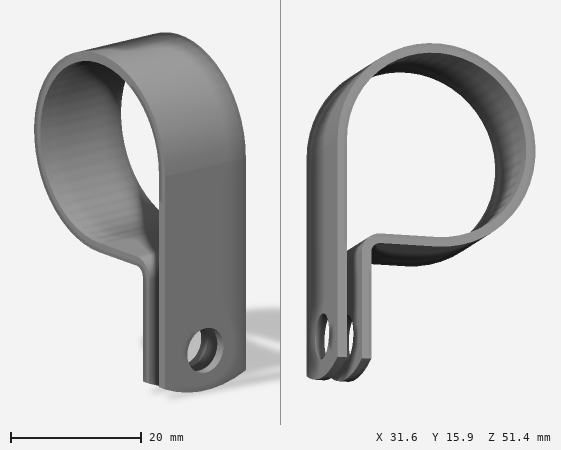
import cadquery as cq
import math

height = 51.45
outer_diameter = 31.65
width = 15.9
thickness = 1.5

short_leg_outer_x = 11.95
bend_inner_radius = 1.5
tip_rise = 1.7
hole_diameter = 7.1
hole_height = 6.4

outer_radius = outer_diameter / 2
inner_radius = outer_radius - thickness
bottom_z = outer_radius - height
bend_outer_radius = bend_inner_radius + thickness
bend_x = short_leg_outer_x - bend_outer_radius
bend_z = -outer_radius - bend_inner_radius
short_leg_inner_x = short_leg_outer_x - thickness
diagonal = math.sqrt(0.5)


def strap():
    """Bent strip: long leg, three-quarter loop, flat shelf and short leg."""
    return (
        cq.Workplane("XZ")
        .moveTo(outer_radius, bottom_z)
        .lineTo(outer_radius, 0)
        .threePointArc(
            (-outer_radius * diagonal, outer_radius * diagonal), (0, -outer_radius)
        )
        .lineTo(bend_x, -outer_radius)
        .threePointArc(
            (bend_x + bend_inner_radius * diagonal, bend_z + bend_inner_radius * diagonal),
            (short_leg_inner_x, bend_z),
        )
        .lineTo(short_leg_inner_x, bottom_z)
        .lineTo(short_leg_outer_x, bottom_z)
        .lineTo(short_leg_outer_x, bend_z)
        .threePointArc(
            (bend_x + bend_outer_radius * diagonal, bend_z + bend_outer_radius * diagonal),
            (bend_x, -inner_radius),
        )
        .lineTo(0, -inner_radius)
        .threePointArc(
            (-inner_radius * diagonal, inner_radius * diagonal), (inner_radius, 0)
        )
        .lineTo(inner_radius, bottom_z)
        .close()
        .extrude(width / 2, both=True)
    )


def rounded_end_envelope():
    """Block around the whole strap whose underside is the arc of the leg ends."""
    return (
        cq.Workplane("YZ")
        .moveTo(-width / 2, outer_radius)
        .lineTo(-width / 2, bottom_z + tip_rise)
        .threePointArc((0, bottom_z), (width / 2, bottom_z + tip_rise))
        .lineTo(width / 2, outer_radius)
        .close()
        .extrude(outer_diameter, both=True)
    )


def bolt_hole():
    """Cylinder along X passing through both legs."""
    return (
        cq.Workplane("YZ")
        .center(0, bottom_z + hole_height)
        .circle(hole_diameter / 2)
        .extrude(outer_diameter)
    )


result = strap().intersect(rounded_end_envelope()).cut(bolt_hole())